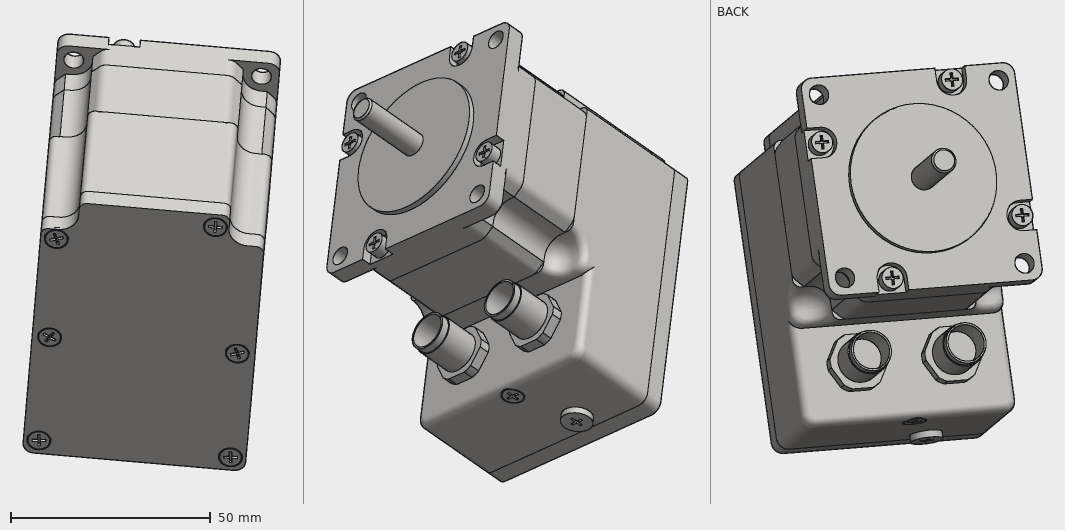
import cadquery as cq
import math


HALF_WIDTH = 28.0
NOTCH_WALL = 18.9
NOTCH_DEPTH = HALF_WIDTH - NOTCH_WALL
NOTCH_ROUND = 5.0
EDGE_ROUND = 2
CORNER_ROUND = 2.9
MOTOR_BEVEL = 2.6
BEVEL_START = NOTCH_WALL - MOTOR_BEVEL
BEVEL_ROUND = 2.9

FLANGE_BACK = 4.8
CAP_BACK = 11.1
STATOR_BACK = 29.9
BOX_FRONT = 37.0
HOUSING_BACK = 62.1
COVER_BACK = 66.95

BOX_BOTTOM = -53.3
BOX_TOP = CORNER_ROUND - HALF_WIDTH

BOSS_DIAMETER = 38.1
BOSS_HEIGHT = 1.6
SHAFT_DIAMETER = 6.4
SHAFT_LENGTH = 20.8
SHAFT_CHAMFER = 0.5

MOUNT_HOLE_DIAMETER = 5.0
MOUNT_HOLE_OFFSET = 23.6
TIE_SCREW_ALONG = 11.4
TIE_SCREW_OUT = 24.7
TIE_SCREW_RISE = 0.4
TIE_POCKET_WIDTH = 7.8
TIE_POCKET_DEPTH = 2.7

SCREW_SEAT_DIAMETER = 6.0
SCREW_HEAD_DIAMETER = 5.5
CROSS_LENGTH = 3.4
CROSS_WIDTH = 0.6
RECESS_DEPTH = 1

COVER_SCREWS = [
    (-24.0, 15.8, 20),
    (15.5, 24.0, 0),
    (-23.6, -15.9, -30),
    (23.6, -15.9, 20),
    (-24.1, -49.1, 5),
    (24.1, -49.2, 5),
]

CONNECTOR_X = 12.4
CONNECTOR_Y = -38.1
CONNECTOR_TIP = 22.3
BARREL_DIAMETER = 11.0
LIP_DIAMETER = 10.4
LIP_LENGTH = 2.2
BORE_DIAMETER = 9.4
BORE_DEPTH = 7.8
NUT_FLATS = 14.0
NUT_ROUND_DIAMETER = 15.0
NUT_THICKNESS = 2.9

PLUG_X = -9.3
PLUG_Z = 56.6
PLUG_DIAMETER = 8.2
PLUG_RISE = 1.8
BOTTOM_SCREW_X = -1.9
BOTTOM_SCREW_Z = 40.7

TILT_X = 103
TILT_Y = 4.4
TILT_Z = 17

TOLERANCE = 0.01


def block(z_front, z_back, y_bottom=-HALF_WIDTH, y_top=HALF_WIDTH):
    """Block as wide as the motor."""
    return cq.Workplane("XY").box(
        2 * HALF_WIDTH, y_top - y_bottom, z_back - z_front, centered=(True, False, False)
    ).translate((0, y_bottom, z_front))


def cylinder(x, y, diameter, z_front, z_back):
    return cq.Workplane("XY", origin=(x, y, z_front)).circle(diameter / 2).extrude(z_back - z_front)


def cross_recess(x, y, turn, z_front):
    """Cutter for the cross of a screw head."""
    plane = cq.Workplane("XY", origin=(x, y, z_front)).transformed(rotate=(0, 0, turn))
    bar = plane.rect(CROSS_LENGTH, CROSS_WIDTH).extrude(RECESS_DEPTH)
    return bar.union(plane.rect(CROSS_WIDTH, CROSS_LENGTH).extrude(RECESS_DEPTH))


def sunk_screw(x, y, turn, z_front):
    """Cutter that leaves a flush screw head: a ring gap around it and its cross."""
    z_back = z_front + RECESS_DEPTH
    seat = cylinder(x, y, SCREW_SEAT_DIAMETER, z_front, z_back)
    head = cylinder(x, y, SCREW_HEAD_DIAMETER, z_front, z_back)
    return seat.cut(head).union(cross_recess(x, y, turn, z_front))


def under_box(shape, x, z):
    """Turn a shape built on z = 0 so that its +Z points up into the box from below."""
    return shape.rotate((0, 0, 0), (1, 0, 0), -90).translate((x, BOX_BOTTOM, z))


def cut_notches(body, z_front, z_back, sides_y):
    """Notch the corners on the given y sides over the full length."""
    for side_x in (-1, 1):
        for side_y in sides_y:
            cutter = (
                cq.Workplane("XY", origin=(side_x * HALF_WIDTH, side_y * HALF_WIDTH, z_front))
                .rect(2 * NOTCH_DEPTH, 2 * NOTCH_DEPTH)
                .extrude(z_back - z_front)
                .edges("|Z")
                .fillet(NOTCH_ROUND)
            )
            body = body.cut(cutter)
    return body


def lies_on_side(edge, along):
    """True for an edge on a side face of the frame, at the distance `along` from its middle."""
    centre = edge.Center()
    near, far = sorted((abs(centre.x), abs(centre.y)))
    return abs(near - along) < TOLERANCE and abs(far - HALF_WIDTH) < TOLERANCE


def on_notch_rim(edge):
    return lies_on_side(edge, NOTCH_WALL)


def on_bevel_start(edge):
    return lies_on_side(edge, BEVEL_START)


def motor_section(z_front, z_back):
    """Length of motor frame with four notches and bevelled notch rims."""
    body = cut_notches(block(z_front, z_back), z_front, z_back, (-1, 1))
    body = body.edges("|Z").filter(on_notch_rim).chamfer(MOTOR_BEVEL)
    return body.edges("|Z").filter(on_bevel_start).fillet(BEVEL_ROUND)


def tie_screw_pocket():
    """Round-ended pocket above the motor axis, open to the flange's top side."""
    slot_length = HALF_WIDTH - TIE_SCREW_OUT
    slot = (
        cq.Workplane("XY", origin=(-TIE_SCREW_ALONG, TIE_SCREW_OUT + slot_length / 2, 0))
        .rect(TIE_POCKET_WIDTH, slot_length)
        .extrude(TIE_POCKET_DEPTH)
    )
    return slot.union(
        cylinder(-TIE_SCREW_ALONG, TIE_SCREW_OUT, TIE_POCKET_WIDTH, 0, TIE_POCKET_DEPTH)
    )


def tie_screw_head():
    head = cylinder(
        -TIE_SCREW_ALONG, TIE_SCREW_OUT, SCREW_HEAD_DIAMETER, -TIE_SCREW_RISE, TIE_POCKET_DEPTH
    )
    return head.cut(cross_recess(-TIE_SCREW_ALONG, TIE_SCREW_OUT, 0, -TIE_SCREW_RISE))


def make_cap():
    """Front flange with its boss, shaft hole, mounting holes and four tie screw heads."""
    flange = block(0, FLANGE_BACK).edges("|Z").fillet(CORNER_ROUND)
    cap = flange.union(motor_section(FLANGE_BACK, CAP_BACK))
    cap = cap.union(cylinder(0, 0, BOSS_DIAMETER, -BOSS_HEIGHT, FLANGE_BACK))
    cap = cap.cut(cylinder(0, 0, SHAFT_DIAMETER, -BOSS_HEIGHT, CAP_BACK))
    for side_x in (-1, 1):
        for side_y in (-1, 1):
            x = side_x * MOUNT_HOLE_OFFSET
            y = side_y * MOUNT_HOLE_OFFSET
            cap = cap.cut(cylinder(x, y, MOUNT_HOLE_DIAMETER, 0, FLANGE_BACK))
    for turn in (0, 90, 180, 270):
        cap = cap.cut(tie_screw_pocket().rotate((0, 0, 0), (0, 0, 1), turn))
        cap = cap.union(tie_screw_head().rotate((0, 0, 0), (0, 0, 1), turn))
    return cap


def make_stator():
    return motor_section(CAP_BACK, STATOR_BACK)


def make_shaft():
    """Plain shaft that sits in the cap over the cap's full length."""
    return cylinder(0, 0, SHAFT_DIAMETER, -SHAFT_LENGTH, CAP_BACK).faces("<Z").chamfer(SHAFT_CHAMFER)


def lower_notch(side_x):
    """Cutter for a lower corner notch that ends in a ball-shaped corner inside the housing."""
    length = 2 * (STATOR_BACK + NOTCH_ROUND)
    cutter = (
        cq.Workplane("XY")
        .box(2 * NOTCH_DEPTH, 2 * NOTCH_DEPTH, length)
        .edges("|Z or >Z")
        .fillet(NOTCH_ROUND)
    )
    return cutter.translate((side_x * HALF_WIDTH, -HALF_WIDTH, 0))


def on_lower_rim(edge):
    """True for the rim of a lower notch on the side and bottom faces of the housing."""
    centre = edge.Center()
    box = edge.BoundingBox()
    flat_on_side = box.xlen < TOLERANCE and abs(abs(centre.x) - HALF_WIDTH) < TOLERANCE
    flat_on_bottom = box.ylen < TOLERANCE and abs(centre.y + HALF_WIDTH) < TOLERANCE
    on_side = flat_on_side and centre.y < TOLERANCE - NOTCH_WALL
    on_bottom = flat_on_bottom and abs(centre.x) > NOTCH_WALL - TOLERANCE
    beside_notch = centre.z < STATOR_BACK + NOTCH_ROUND + TOLERANCE
    behind_front = box.zmax > STATOR_BACK + TOLERANCE
    return beside_notch and behind_front and (on_side or on_bottom)


def connector_box():
    """Box that reaches below the motor and carries the connectors."""
    box = block(BOX_FRONT, HOUSING_BACK, BOX_BOTTOM, BOX_TOP)
    box = box.edges("|Z and <Y").fillet(CORNER_ROUND)
    return box.faces("<Z").edges("not >Y").fillet(EDGE_ROUND)


def make_housing():
    """Electronics housing behind the stator, with the connector box and its bottom screw."""
    body = cut_notches(block(STATOR_BACK, HOUSING_BACK), STATOR_BACK, HOUSING_BACK, (1,))
    body = body.edges("|Z").filter(on_notch_rim).fillet(EDGE_ROUND)
    for side_x in (-1, 1):
        body = body.cut(lower_notch(side_x))
    body = body.edges("|Z and <Y").fillet(CORNER_ROUND)
    body = body.edges().filter(on_lower_rim).fillet(EDGE_ROUND)
    housing = body.union(connector_box())
    return housing.cut(under_box(sunk_screw(0, 0, 0, 0), BOTTOM_SCREW_X, BOTTOM_SCREW_Z))


def make_cover():
    """Rear cover with six sunk screws."""
    cover = cut_notches(block(HOUSING_BACK, COVER_BACK, BOX_BOTTOM), HOUSING_BACK, COVER_BACK, (1,))
    cover = cover.edges("|Z").filter(on_notch_rim).fillet(EDGE_ROUND)
    cover = cover.edges("|Z and <Y").fillet(CORNER_ROUND)
    for x, y, turn in COVER_SCREWS:
        cover = cover.cut(sunk_screw(x, y, turn, COVER_BACK - RECESS_DEPTH))
    return cover


def make_connector(side_x):
    """Round connector with a hexagonal foot against the front of the box."""
    x = side_x * CONNECTOR_X
    nut_front = BOX_FRONT - NUT_THICKNESS
    lip_end = CONNECTOR_TIP + LIP_LENGTH
    nut = (
        cq.Workplane("XY", origin=(x, CONNECTOR_Y, nut_front))
        .polygon(6, NUT_FLATS / math.cos(math.pi / 6))
        .extrude(NUT_THICKNESS)
        .intersect(cylinder(x, CONNECTOR_Y, NUT_ROUND_DIAMETER, nut_front, BOX_FRONT))
    )
    barrel = cylinder(x, CONNECTOR_Y, BARREL_DIAMETER, lip_end, nut_front)
    lip = cylinder(x, CONNECTOR_Y, LIP_DIAMETER, CONNECTOR_TIP, lip_end)
    bore = cylinder(x, CONNECTOR_Y, BORE_DIAMETER, CONNECTOR_TIP, CONNECTOR_TIP + BORE_DEPTH)
    return nut.union(barrel).union(lip).cut(bore)


def make_plug():
    """Round plug with a cross recess, standing out under the box."""
    plug = cylinder(0, 0, PLUG_DIAMETER, -PLUG_RISE, 0).cut(cross_recess(0, 0, 0, -PLUG_RISE))
    return under_box(plug, PLUG_X, PLUG_Z)


def posed(body):
    """Turn a body into its resting attitude."""
    turned = body.rotate((0, 0, 0), (1, 0, 0), TILT_X)
    turned = turned.rotate((0, 0, 0), (0, 1, 0), TILT_Y)
    return turned.rotate((0, 0, 0), (0, 0, 1), TILT_Z)


cap = posed(make_cap())
stator = posed(make_stator())
shaft = posed(make_shaft())
housing = posed(make_housing())
cover = posed(make_cover())
plug = posed(make_plug())
connectors = [posed(make_connector(side_x)) for side_x in (-1, 1)]

result = cq.Compound.makeCompound([
    cap.val(),
    stator.val(),
    shaft.val(),
    housing.val(),
    cover.val(),
    plug.val(),
    *[connector.val() for connector in connectors],
])